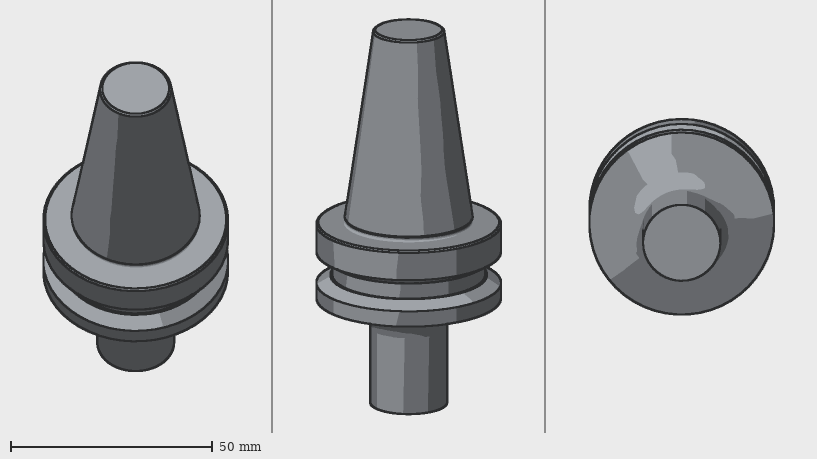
import cadquery as cq
import math

total_height = 97.4

shank_radius = 19.2 / 2
shank_fillet_radius = 5.1

flange_radius = 46.0 / 2
flange_bottom = 27.3
flange_top = 47.0
flange_chamfer = 0.5
flange_cone_angle = math.radians(15)
groove_floor_radius = 38.0 / 2
groove_centre = 35.4
groove_floor_width = 4.1
groove_ledge = 0.5
groove_wall_angle = math.radians(30)

neck_radius = 31.3 / 2
neck_fillet_radius = 0.6
neck_top = 48.1
taper_base_radius = 31.85 / 2
taper_bottom = 48.5
taper_ratio = 7 / 24
tip_chamfer = 0.5

fillet_centre_radius = shank_radius + shank_fillet_radius
cone_end_radius = fillet_centre_radius - shank_fillet_radius * math.sin(flange_cone_angle)
cone_end_height = flange_bottom - (flange_radius - cone_end_radius) * math.tan(flange_cone_angle)
fillet_bottom = cone_end_height - shank_fillet_radius * math.cos(flange_cone_angle)
fillet_mid_angle = (math.pi / 2 + flange_cone_angle) / 2
fillet_mid = (
    fillet_centre_radius - shank_fillet_radius * math.sin(fillet_mid_angle),
    fillet_bottom + shank_fillet_radius * math.cos(fillet_mid_angle),
)

groove_ledge_radius = groove_floor_radius + groove_ledge
floor_half_width = groove_floor_width / 2
groove_wall_height = (flange_radius - groove_ledge_radius) * math.tan(groove_wall_angle)
rim_half_width = floor_half_width + groove_wall_height

neck_fillet_sagitta = neck_fillet_radius * (1 - math.cos(math.pi / 4))
neck_fillet_mid = (neck_radius + neck_fillet_sagitta, flange_top + neck_fillet_sagitta)

tip_radius = taper_base_radius - (total_height - taper_bottom) * taper_ratio / 2

profile = (
    cq.Workplane("XZ")
    .lineTo(shank_radius, 0)
    .lineTo(shank_radius, fillet_bottom)
    .threePointArc(fillet_mid, (cone_end_radius, cone_end_height))
    .lineTo(flange_radius, flange_bottom)
    .lineTo(flange_radius, groove_centre - rim_half_width)
    .lineTo(groove_ledge_radius, groove_centre - floor_half_width)
    .lineTo(groove_floor_radius, groove_centre - floor_half_width)
    .lineTo(groove_floor_radius, groove_centre + floor_half_width)
    .lineTo(groove_ledge_radius, groove_centre + floor_half_width)
    .lineTo(flange_radius, groove_centre + rim_half_width)
    .lineTo(flange_radius, flange_top - flange_chamfer)
    .lineTo(flange_radius - flange_chamfer, flange_top)
    .lineTo(neck_radius + neck_fillet_radius, flange_top)
    .threePointArc(neck_fillet_mid, (neck_radius, flange_top + neck_fillet_radius))
    .lineTo(neck_radius, neck_top)
    .lineTo(taper_base_radius, taper_bottom)
    .lineTo(tip_radius + tip_chamfer * taper_ratio / 2, total_height - tip_chamfer)
    .lineTo(tip_radius - tip_chamfer, total_height)
    .lineTo(0, total_height)
    .close()
)

result = profile.revolve(360, (0, 0, 0), (0, 1, 0))